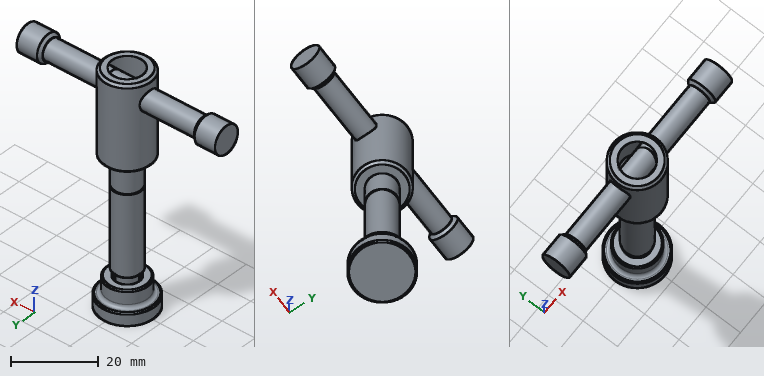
import cadquery as cq
import math

total_height = 68.0

flange_diameter = 16.0
flange_height = 4.0
boss_diameter = 12.05
foot_height = 9.0
boss_fillet = 1.0
foot_chamfer = 0.4
socket_diameter = 6.3
socket_depth = 4.1
socket_chamfer = 0.5

neck_diameter = 5.45
shank_diameter = 8.0
shank_bottom = 10.5
groove_height = 34.8
shank_chamfer = 0.75
groove_width = 0.2
groove_depth = 0.1
hub_diameter = 14.0
hub_length = 25.0
hub_chamfer = 0.75
bore_diameter = 9.0
bore_depth = 9.0
drill_point_angle = 118.0

bar_length = 60.0
bar_diameter = 6.0
bar_axis_drop = 6.0
knob_diameter = 8.0
knob_length = 7.1
knob_chamfer = 0.9

bar_height = total_height - bar_axis_drop
hub_bottom = total_height - hub_length
socket_floor = foot_height - socket_depth


def cylinder(diameter, bottom, top):
    """Upright cylinder on the Z axis between two heights."""
    return cq.Workplane("XY").workplane(offset=bottom).circle(diameter / 2).extrude(top - bottom)


def make_foot():
    flange = cylinder(flange_diameter, 0, flange_height).edges().chamfer(foot_chamfer)
    boss = cylinder(boss_diameter, 0, foot_height).faces(">Z").edges().chamfer(foot_chamfer)
    root_edge = cq.selectors.RadiusNthSelector(0)
    foot = flange.union(boss)
    foot = foot.faces(cq.selectors.NearestToPointSelector((0, 0, flange_height)))
    foot = foot.edges(root_edge).fillet(boss_fillet)
    socket = cylinder(socket_diameter, socket_floor, foot_height)
    foot = foot.cut(socket)
    return foot.faces(">Z").edges(root_edge).chamfer(socket_chamfer)


def make_bore():
    """Blind hole from the hub top, ending in a drill point."""
    bore_radius = bore_diameter / 2
    bore_floor = total_height - bore_depth
    point_depth = bore_radius / math.tan(math.radians(drill_point_angle / 2))
    return (
        cq.Workplane("XZ")
        .moveTo(0, total_height)
        .lineTo(bore_radius, total_height)
        .lineTo(bore_radius, bore_floor)
        .lineTo(0, bore_floor - point_depth)
        .close()
        .revolve(360, (0, 0, 0), (0, 1, 0))
    )


def make_screw():
    neck = cylinder(neck_diameter, socket_floor, shank_bottom)
    shank = cylinder(shank_diameter, shank_bottom, hub_bottom).faces("<Z").edges().chamfer(shank_chamfer)
    groove_bottom = groove_height - groove_width / 2
    groove_top = groove_height + groove_width / 2
    groove_core = cylinder(shank_diameter - 2 * groove_depth, groove_bottom, groove_top)
    groove = cylinder(hub_diameter, groove_bottom, groove_top).cut(groove_core)
    shank = shank.cut(groove)
    hub = cylinder(hub_diameter, hub_bottom, total_height).edges().chamfer(hub_chamfer)
    bar_hole = (
        cq.Workplane("YZ")
        .center(0, bar_height)
        .circle(bar_diameter / 2)
        .extrude(hub_diameter, both=True)
    )
    return neck.union(shank).union(hub).cut(make_bore()).cut(bar_hole)


def make_cross_bar():
    bar = (
        cq.Workplane("YZ")
        .center(0, bar_height)
        .circle(bar_diameter / 2)
        .extrude(bar_length / 2, both=True)
    )
    for side in (-1, 1):
        knob = (
            cq.Workplane("YZ", origin=(side * bar_length / 2, 0, bar_height))
            .circle(knob_diameter / 2)
            .extrude(-side * knob_length)
        )
        inner_face = "<X" if side > 0 else ">X"
        bar = bar.union(knob.faces(inner_face).edges().chamfer(knob_chamfer))
    return bar


foot = make_foot()
screw = make_screw()
cross_bar = make_cross_bar()

result = cq.Compound.makeCompound([foot.val(), screw.val(), cross_bar.val()])